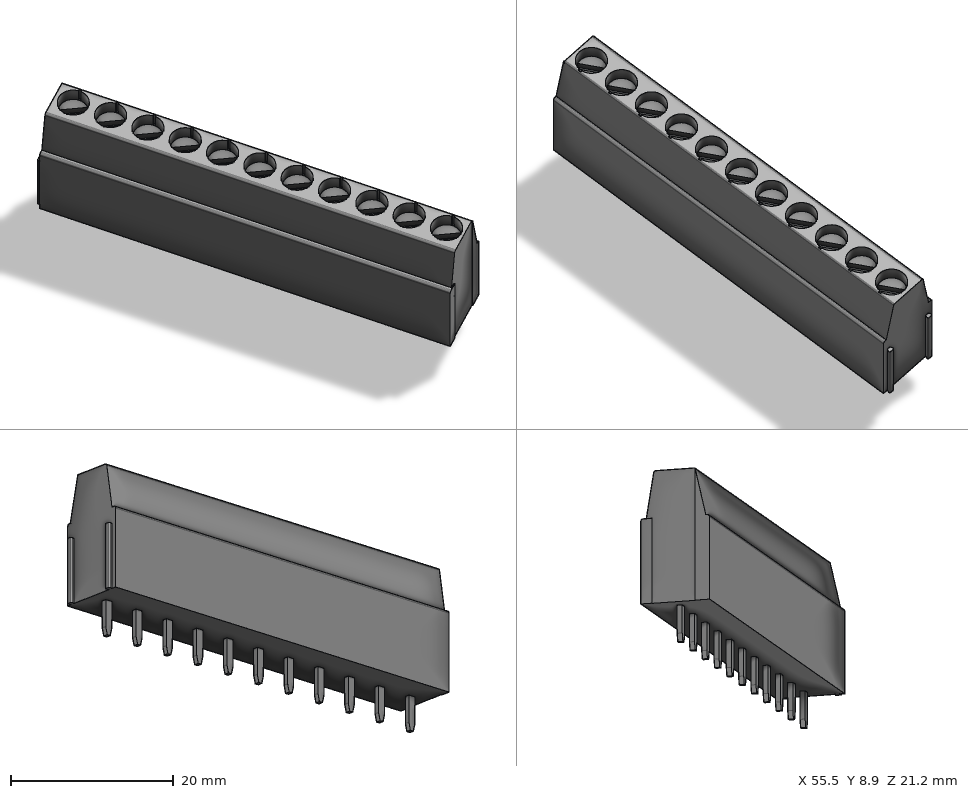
import cadquery as cq

pole_count = 11
pole_pitch = 5.0
body_length = pole_count * pole_pitch
pole_centres = [(i + 0.5) * pole_pitch for i in range(pole_count)]

body_depth = 8.9
body_height = 16.7
shoulder_height = 10.7
front_shoulder_width = 0.65
rear_shoulder_width = 0.5
top_front_y = -2.8
top_rear_y = 2.55
edge_radius = 0.35
top_rear_radius = 0.15

relief_depth = 0.1
relief_front_y = -3.0

screw_diameter = 3.8
well_diameter = 3.95
well_y = 0.2
well_depth = 1.7
groove_width = 0.35
groove_end_y = 2.4
slot_width = 0.85
slot_depth = 0.85
slot_angle = 30.0

pin_length = 4.55
pin_width = 1.0
pin_thickness = 0.65
pin_y = -0.05
pin_tip_length = 1.0
pin_tip_width = 0.5

rib_projection = 0.55
rib_height = 8.55
rib_offset = 3.5
rib_outer_width = 0.9
rib_root_width = 0.5
rib_edge_radius = 0.15


def make_housing():
    front = -body_depth / 2
    rear = body_depth / 2
    profile = [
        (front, 0),
        (rear, 0),
        (rear, shoulder_height),
        (rear - rear_shoulder_width, shoulder_height),
        (top_rear_y, body_height),
        (top_front_y, body_height),
        (front + front_shoulder_width, shoulder_height),
        (front, shoulder_height),
    ]
    housing = cq.Workplane("YZ").polyline(profile).close().extrude(body_length)
    rounded_edges = [
        (front, shoulder_height, edge_radius),
        (rear, shoulder_height, edge_radius),
        (top_front_y, body_height, edge_radius),
        (top_rear_y, body_height, top_rear_radius),
    ]
    for y, z, radius in rounded_edges:
        edge = cq.selectors.NearestToPointSelector((body_length / 2, y, z))
        housing = housing.edges(edge).fillet(radius)
    return housing


def make_end_relief():
    band_depth = top_rear_y - relief_front_y
    band = cq.Workplane("XY", origin=(body_length - relief_depth, relief_front_y, 0)).box(
        relief_depth, band_depth, body_height, centered=False
    )
    upper_front = cq.Workplane(
        "XY", origin=(body_length - relief_depth, -body_depth / 2, shoulder_height)
    ).box(relief_depth, body_depth / 2, body_height - shoulder_height, centered=False)
    return band.union(upper_front)


def make_disc(x, base_z, diameter, height):
    return cq.Workplane("XY", origin=(x, well_y, base_z)).circle(diameter / 2).extrude(height)


def make_screw_well(x):
    screw_top = body_height - well_depth
    slot_floor = screw_top - slot_depth
    well = make_disc(x, slot_floor, well_diameter, well_depth + slot_depth)
    screw_head = make_disc(x, slot_floor, screw_diameter, slot_depth)
    driver_slot = (
        cq.Workplane("XY")
        .rect(2 * screw_diameter, slot_width)
        .extrude(slot_depth)
        .rotate((0, 0, 0), (0, 0, 1), slot_angle)
        .translate((x, well_y, slot_floor))
    )
    groove_length = groove_end_y - well_y
    groove = (
        cq.Workplane("XY", origin=(x, well_y + groove_length / 2, screw_top))
        .rect(groove_width, groove_length)
        .extrude(well_depth)
    )
    return well.cut(screw_head.cut(driver_slot)).union(groove)


def make_pin(x):
    half_width = pin_width / 2
    half_tip = pin_tip_width / 2
    outline = [
        (x - half_width, 0),
        (x - half_width, pin_tip_length - pin_length),
        (x - half_tip, -pin_length),
        (x + half_tip, -pin_length),
        (x + half_width, pin_tip_length - pin_length),
        (x + half_width, 0),
    ]
    return (
        cq.Workplane("XZ", origin=(0, pin_y, 0))
        .polyline(outline)
        .close()
        .extrude(pin_thickness / 2, both=True)
    )


def make_rib(y):
    outline = [
        (0, y - rib_root_width / 2),
        (-rib_projection, y - rib_outer_width / 2),
        (-rib_projection, y + rib_outer_width / 2),
        (0, y + rib_root_width / 2),
    ]
    rib = cq.Workplane("XY").polyline(outline).close().extrude(rib_height)
    return rib.faces("<X").edges("|Z").fillet(rib_edge_radius)


result = make_housing().cut(make_end_relief())
for pole_x in pole_centres:
    result = result.cut(make_screw_well(pole_x))
    result = result.union(make_pin(pole_x))
for rib_y in (-rib_offset, rib_offset):
    result = result.union(make_rib(rib_y))